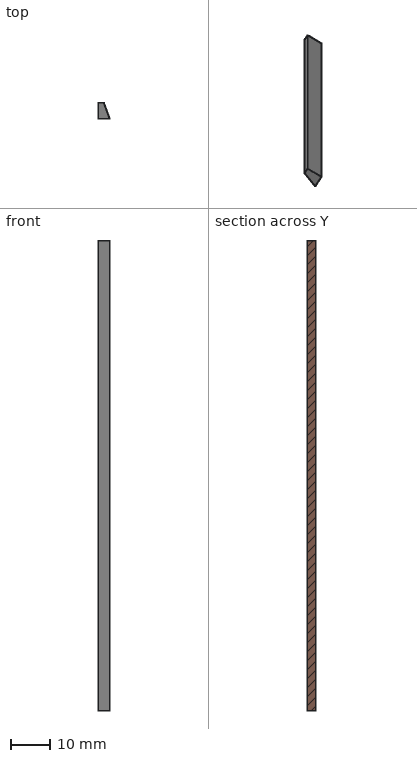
import cadquery as cq
import math

base_width = 3.0
depth = 4.2
length = 120.0
slope_angle = 20.0

tip_width = base_width - depth * math.tan(math.radians(slope_angle))

profile = [
    (0, 0),
    (base_width, 0),
    (tip_width, depth),
    (0, depth),
]

result = cq.Workplane("XY").polyline(profile).close().extrude(length)